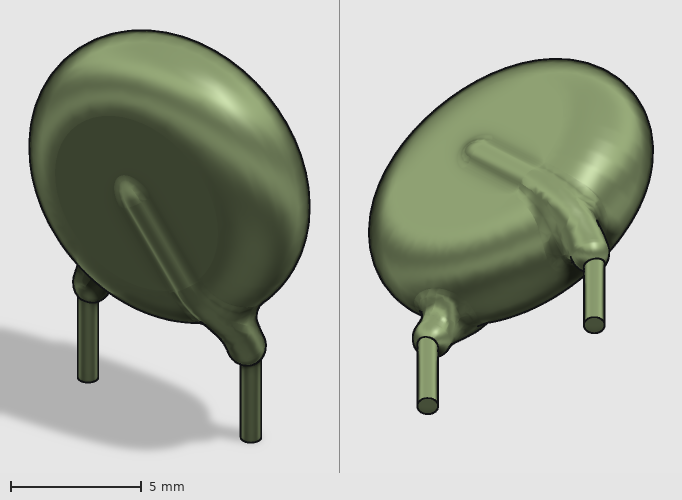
import cadquery as cq
import math

disc_radius = 6.0
disc_thickness = 4.5
rim_radius = disc_thickness / 2
flat_radius = disc_radius - rim_radius

lead_pitch = 7.5
lead_radius = 0.4
lead_end_z = -10.5
lead_x = lead_pitch / 2

coat_radius = 0.75
ridge_height = 0.25
arm_axis_y = -(rim_radius + ridge_height - coat_radius)
blend_radius = 1.0
tip_bend_radius = 1.4

run_x, run_z = 0.6, -0.8
run_length = flat_radius

cap_length = 0.7
cap_end_radius = 0.41
cap_end_z = -6.9
cap_direction = cq.Vector(0.12, 0.3, -1).normalized()
cap_end = cq.Vector(lead_x, 0, cap_end_z)

lead_angles = (0, 180)

surface_tolerance = 0.002


def turned(shape, angle):
    return shape.rotate((0, 0, 0), (0, 0, 1), angle)


def make_disc():
    half_profile = (
        cq.Workplane("XY")
        .moveTo(0, -rim_radius)
        .lineTo(flat_radius, -rim_radius)
        .threePointArc((disc_radius, 0), (flat_radius, rim_radius))
        .lineTo(0, rim_radius)
        .close()
    )
    return half_profile.revolve(360, (0, 0, 0), (0, 1, 0))


def arm_axis_point(along, y):
    """Point over the line of the straight run, at a signed distance from the disc centre."""
    return cq.Vector(run_x * along, y, run_z * along)


def make_cap(base):
    """Rounded end of the coating, narrowing from the full arm to the lead."""
    sideways = cap_direction.cross(cq.Vector(0, 1, 0)).normalized()
    narrowing = coat_radius - cap_end_radius
    arc_radius = (narrowing**2 + cap_length**2) / (2 * narrowing)
    half_angle = math.asin(cap_length / arc_radius) / 2
    arc_middle = (
        coat_radius - arc_radius * (1 - math.cos(half_angle)),
        arc_radius * math.sin(half_angle),
    )
    half_profile = (
        cq.Workplane(cq.Plane(base, xDir=sideways, normal=sideways.cross(cap_direction)))
        .lineTo(coat_radius, 0)
        .threePointArc(arc_middle, (cap_end_radius, cap_length))
        .lineTo(0, cap_length)
        .close()
    )
    return half_profile.revolve(360, (0, 0, 0), (0, 1, 0))


def make_arm():
    """Arm on the -Y face: dips into the disc at its tip, runs straight, then drops to the lead."""
    tip = arm_axis_point(-tip_bend_radius, arm_axis_y + tip_bend_radius)
    half_bend = math.sqrt(0.5)
    bend_middle = arm_axis_point(
        -tip_bend_radius * half_bend,
        arm_axis_y + tip_bend_radius * (1 - half_bend),
    )
    run_start = arm_axis_point(0, arm_axis_y)
    run_end = arm_axis_point(run_length, arm_axis_y)
    coat_end = cap_end - cap_direction * cap_length

    tip_bend = cq.Edge.makeThreePointArc(tip, bend_middle, run_start)
    run = cq.Edge.makeLine(run_start, run_end)
    drop = cq.Edge.makeSpline(
        [run_end, coat_end],
        tangents=[cq.Vector(run_x, 0, run_z), cap_direction],
    )
    path = cq.Wire.assembleEdges([tip_bend, run, drop])
    tip_plane = cq.Plane(tip, xDir=(run_z, 0, -run_x), normal=(0, -1, 0))
    arm = cq.Workplane(tip_plane).circle(coat_radius).sweep(cq.Workplane(path))
    return arm.union(make_cap(coat_end))


def make_lead():
    return (
        cq.Workplane("XY", origin=(lead_x, 0, lead_end_z))
        .circle(lead_radius)
        .extrude(cap_end_z + cap_length - lead_end_z)
    )


def on_disc_surface(point):
    radial = math.hypot(point.x, point.z)
    if radial < flat_radius:
        gap = abs(point.y) - rim_radius
    else:
        gap = math.hypot(radial - flat_radius, point.y) - rim_radius
    return abs(gap) < surface_tolerance


def is_arm_root(edge):
    """True for the edges where an arm meets the disc; the disc's own edges are circles."""
    return edge.geomType() != "CIRCLE" and on_disc_surface(edge.positionAt(0.5))


def make_coated_body():
    body = make_disc()
    for angle in lead_angles:
        body = body.union(turned(make_arm(), angle))
    roots = [edge for edge in body.edges().vals() if is_arm_root(edge)]
    return body.newObject(roots).fillet(blend_radius)


result = make_coated_body()
for lead_angle in lead_angles:
    result = result.union(turned(make_lead(), lead_angle))